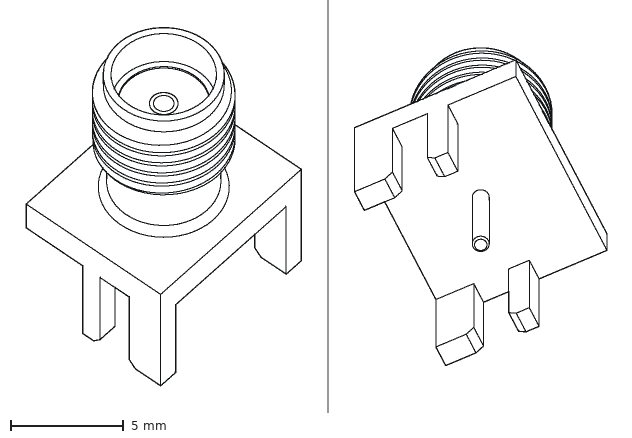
import cadquery as cq

total_height = 14.27
plate_bottom = 4.74
plate_top = 6.41
neck_top = 9.06
thread_top = 13.51

plate_length_x = 7.92
plate_width_y = 9.53
leg_thickness = 1.03
leg_chamfer = 0.37
narrow_leg_left = -0.63
narrow_leg_right = 0.39
wide_leg_left = 2.1

pin_diameter = 0.75
pin_chamfer = 0.1

neck_radius = 5.08 / 2
rim_radius = 5.38 / 2
thread_radius = 6.35 / 2
collar_size = 0.37

bore_diameter = 4.68
bore_depth = 1.95
recess_diameter = 4.1
recess_depth = 0.1
contact_diameter = 1.27
contact_height = 0.01
contact_hole_diameter = 0.91
contact_cone_depth = 0.27

groove_turns = 6
groove_depth = 0.35
groove_width = 0.49
groove_start_height = 9.18
groove_end_height = 13.41
groove_end_angle = 217.0
cutter_overlap = 0.07


def make_leg_pair(left, right, chamfered_edges):
    """A pair of legs at the two Y edges, chamfered at one bottom edge."""
    leg = (
        cq.Workplane("XY")
        .box(right - left, leg_thickness, plate_bottom, centered=False)
        .faces("<Z")
        .edges(chamfered_edges)
        .chamfer(leg_chamfer)
        .translate((left, -plate_width_y / 2, 0))
    )
    return leg.union(leg.mirror("XZ"))


def make_base():
    plate = (
        cq.Workplane("XY")
        .workplane(offset=plate_bottom)
        .rect(plate_length_x, plate_width_y)
        .extrude(plate_top - plate_bottom)
    )
    narrow_legs = make_leg_pair(narrow_leg_left, narrow_leg_right, ">X")
    wide_legs = make_leg_pair(wide_leg_left, plate_length_x / 2, "<X")
    pin = (
        cq.Workplane("XY")
        .circle(pin_diameter / 2)
        .extrude(plate_bottom)
        .faces("<Z")
        .chamfer(pin_chamfer)
    )
    return plate.union(narrow_legs).union(wide_legs).union(pin)


def make_barrel():
    """Revolved barrel with 45 degree cones at the collar and both thread ends."""
    return (
        cq.Workplane("XZ")
        .moveTo(0, plate_top)
        .lineTo(neck_radius + collar_size, plate_top)
        .lineTo(neck_radius, plate_top + collar_size)
        .lineTo(neck_radius, neck_top)
        .lineTo(thread_radius, neck_top + thread_radius - neck_radius)
        .lineTo(thread_radius, thread_top - (thread_radius - rim_radius))
        .lineTo(rim_radius, thread_top)
        .lineTo(rim_radius, total_height)
        .lineTo(0, total_height)
        .close()
        .revolve(360, (0, 0, 0), (0, 1, 0))
    )


def make_thread_groove():
    """V-shaped cutter swept up a helix; its wide side lies outside the thread."""
    root_radius = thread_radius - groove_depth
    outer_radius = thread_radius + cutter_overlap
    half_width = groove_width / 2 * (groove_depth + cutter_overlap) / groove_depth
    length = groove_end_height - groove_start_height
    thread_pitch = length / groove_turns
    path = cq.Wire.makeHelix(thread_pitch, length, thread_radius)
    groove = (
        cq.Workplane("XZ")
        .polyline([(root_radius, 0), (outer_radius, half_width), (outer_radius, -half_width)])
        .close()
        .sweep(cq.Workplane(path), isFrenet=True)
    )
    return groove.rotate((0, 0, 0), (0, 0, 1), groove_end_angle).translate((0, 0, groove_start_height))


def make_socket():
    """Bore with a shallow recess around a slightly raised contact with a conical hole."""
    floor = total_height - bore_depth
    bore = cq.Workplane("XY").workplane(offset=floor).circle(bore_diameter / 2).extrude(bore_depth)
    recess = (
        cq.Workplane("XY")
        .workplane(offset=floor - recess_depth)
        .circle(recess_diameter / 2)
        .extrude(recess_depth)
    )
    contact_top = floor - recess_depth + contact_height
    contact = (
        cq.Workplane("XY")
        .workplane(offset=floor - recess_depth)
        .circle(contact_diameter / 2)
        .extrude(contact_height)
    )
    cone = cq.Workplane(
        cq.Solid.makeCone(0, contact_hole_diameter / 2, contact_cone_depth)
    ).translate((0, 0, contact_top - contact_cone_depth))
    return bore.union(recess).cut(contact).union(cone)


barrel = make_barrel().cut(make_thread_groove()).cut(make_socket())
result = make_base().union(barrel)